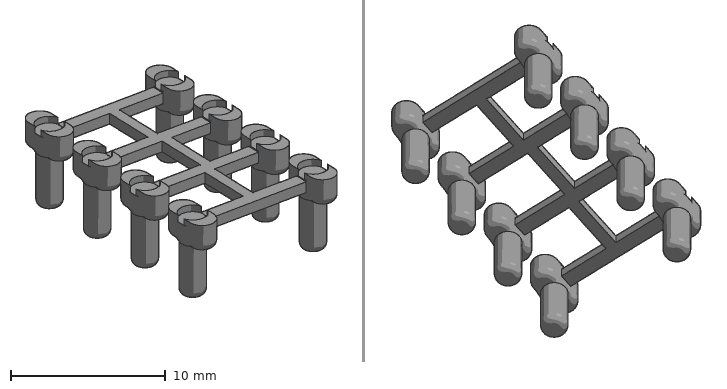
import cadquery as cq

overall_length = 18.9
overall_width = 11.8
overall_height = 6.0
pins_per_row = 4

head_length = 3.9
head_width = 1.9
head_height = 2.0
head_edge_radius = 0.5

recess_diameter = 2.0
recess_depth = 0.5

stem_diameter = 1.8
stem_tip_radius = 0.5

bar_top = -0.57
bar_height = 0.8
link_width = 1.0
cross_bar_width = 0.8

pin_pitch = (overall_length - head_length) / (pins_per_row - 1)
row_spacing = overall_width - head_width
column_xs = [(i - (pins_per_row - 1) / 2) * pin_pitch for i in range(pins_per_row)]
row_ys = [-row_spacing / 2, row_spacing / 2]


def make_pin():
    """One pin centred on the Z axis: slot-shaped head, round stem, recessed top."""
    head = (
        cq.Workplane("XY")
        .workplane(offset=-head_height)
        .slot2D(head_length, head_width)
        .extrude(head_height)
    )
    stem = (
        cq.Workplane("XY")
        .workplane(offset=-overall_height)
        .circle(stem_diameter / 2)
        .extrude(overall_height - head_height)
        .faces("<Z")
        .edges()
        .fillet(stem_tip_radius)
    )
    pin = head.union(stem)
    underside = pin.faces("|Z").faces(">Z[-2]")
    pin = underside.edges("|X or <X or >X").fillet(head_edge_radius)
    recess = cq.Workplane("XY").circle(recess_diameter / 2).extrude(-recess_depth)
    return pin.cut(recess)


def make_bar(x_size, y_size, x, y):
    """One rectangular bar centred on (x, y)."""
    return (
        cq.Workplane("XY")
        .workplane(offset=bar_top - bar_height)
        .center(x, y)
        .rect(x_size, y_size)
        .extrude(bar_height)
    )


pin = make_pin()
result = cq.Workplane("XY")

for x in column_xs:
    result = result.union(make_bar(link_width, row_spacing - head_width, x, 0))

cross_bar_ys = [0, cross_bar_width / 2, 0]
for left, right, y in zip(column_xs, column_xs[1:], cross_bar_ys):
    result = result.union(make_bar(right - left, cross_bar_width, (left + right) / 2, y))

for x in column_xs:
    for y in row_ys:
        result = result.union(pin.translate((x, y, 0)))